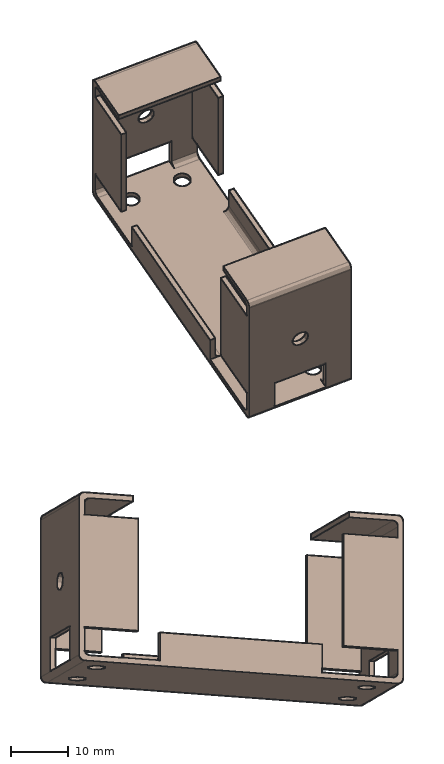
import cadquery as cq

length = 60.0
width = length / 3
height = length / 2
thickness = length / 60
bend_radius = thickness

lip_length = length / 6
flap_length = 11.0
flap_bottom = height / 5
flap_height = width
guard_length = length / 2
guard_height = height / 5

hole_diameter = 3.0
floor_hole_x = length / 2 - width / 4
floor_hole_y = width / 4
wall_hole_z = 16.0
window_width = width / 2
window_top = 7.0


def box_between(x_range, y_range, z_range):
    """Box spanning the given (low, high) limits along each axis."""
    lows, highs = zip(x_range, y_range, z_range)
    sizes = [high - low for low, high in zip(lows, highs)]
    return cq.Workplane("XY").box(*sizes, centered=False).translate(lows)


def make_channel():
    """Floor, two end walls and two inward top lips, with rounded corners."""
    outer = cq.Workplane("XY").box(length, width, height, centered=(True, True, False))
    inner = cq.Workplane("XY").box(
        length - 2 * thickness, width, height - 2 * thickness, centered=(True, True, False)
    ).translate((0, 0, thickness))
    outer = outer.edges("|Y").fillet(bend_radius)
    inner = inner.edges("|Y").fillet(bend_radius)
    gap_half = length / 2 - lip_length
    top_gap = box_between(
        (-gap_half, gap_half), (-width / 2, width / 2), (height - thickness, height)
    )
    return outer.cut(inner).cut(top_gap)


def make_flap():
    """Side flap at the -X, -Y corner, standing off the end wall."""
    return box_between(
        (-length / 2, -length / 2 + flap_length),
        (-width / 2, -width / 2 + thickness),
        (flap_bottom, flap_bottom + flap_height),
    )


def make_guard():
    """Low wall along the -Y edge of the floor, with a concave inside corner."""
    inside_y = -width / 2 + thickness
    return (
        cq.Workplane("YZ", origin=(-guard_length / 2, 0, 0))
        .moveTo(-width / 2, 0)
        .lineTo(inside_y + bend_radius, 0)
        .lineTo(inside_y + bend_radius, thickness)
        .radiusArc((inside_y, thickness + bend_radius), bend_radius)
        .lineTo(inside_y, guard_height)
        .lineTo(-width / 2, guard_height)
        .close()
        .extrude(guard_length)
    )


def cut_openings(body):
    """Four floor holes, plus a hole and a window through each end wall."""
    floor_holes = (
        cq.Workplane("XY")
        .rect(2 * floor_hole_x, 2 * floor_hole_y, forConstruction=True)
        .vertices()
        .circle(hole_diameter / 2)
        .extrude(thickness)
    )
    wall_holes = (
        cq.Workplane("YZ")
        .center(0, wall_hole_z)
        .circle(hole_diameter / 2)
        .extrude(length / 2, both=True)
    )
    windows = box_between(
        (-length / 2, length / 2), (-window_width / 2, window_width / 2), (thickness, window_top)
    )
    return body.cut(floor_holes).cut(wall_holes).cut(windows)


def add_with_mirror_y(body, piece):
    return body.union(piece).union(piece.mirror("XZ"))


body = make_channel()
flap = make_flap()
for end_flap in (flap, flap.mirror("YZ")):
    body = add_with_mirror_y(body, end_flap)
body = add_with_mirror_y(body, make_guard())
result = cut_openings(body)